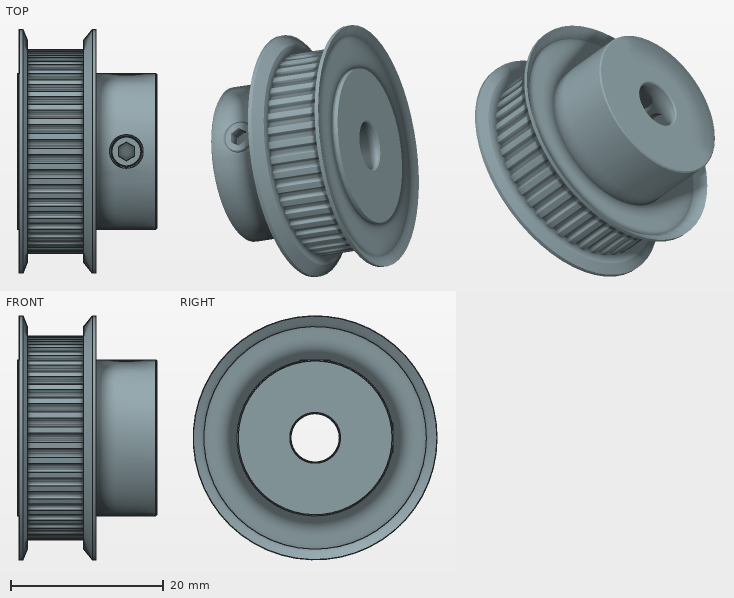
import cadquery as cq
import math


total_length = 18.27
rim_width = 0.5
left_rim_start = 0.2
belt_start = 1.28
belt_end = 8.67
right_rim_end = 10.3

flange_radius = 16.0
flange_flat_radius = 14.6
tooth_radius = 13.38
hub_radius = 10.25
bore_radius = 3.17
edge_chamfer = 0.15

tooth_count = 42
groove_depth = 0.5
groove_top_half = 0.58
groove_floor_half = 0.3
root_fillet = 0.22
tip_fillet = 0.15

screw_x = 14.27
screw_radius = 2.0
screw_chamfer = 0.13
hole_chamfer = 0.2
screw_tip = bore_radius
screw_top = hub_radius
hex_across_flats = 2.1
hex_depth = 1.92
screw_angles = (0, -90)


def make_blank():
    """Revolved pulley body with dished flanges and no belt grooves yet."""
    left_web = belt_start - rim_width
    right_web = belt_end + rim_width
    profile = [
        (0, bore_radius + edge_chamfer),
        (0, hub_radius),
        (left_web, hub_radius),
        (left_web, flange_flat_radius),
        (left_rim_start, flange_radius),
        (left_rim_start + rim_width, flange_radius),
        (belt_start, flange_flat_radius),
        (belt_start, tooth_radius),
        (belt_end, tooth_radius),
        (belt_end, flange_flat_radius),
        (right_rim_end - rim_width, flange_radius),
        (right_rim_end, flange_radius),
        (right_web, flange_flat_radius),
        (right_web, hub_radius),
        (total_length - edge_chamfer, hub_radius),
        (total_length, hub_radius - edge_chamfer),
        (total_length, bore_radius + edge_chamfer),
        (total_length - edge_chamfer, bore_radius),
        (edge_chamfer, bore_radius),
    ]
    return cq.Workplane("XY").polyline(profile).close().revolve(360, (0, 0, 0), (1, 0, 0))


def make_groove():
    """Cutter for a belt groove on +Z: sloped flanks, rounded root and rounded tooth tips."""
    root_radius = tooth_radius - groove_depth
    shoulder_half = groove_top_half + tip_fillet
    cutter_top = tooth_radius + groove_depth
    outline = [
        (-groove_floor_half, root_radius),
        (groove_floor_half, root_radius),
        (groove_top_half, tooth_radius),
        (shoulder_half, tooth_radius),
        (shoulder_half, cutter_top),
        (-shoulder_half, cutter_top),
        (-shoulder_half, tooth_radius),
        (-groove_top_half, tooth_radius),
    ]
    cutter = (
        cq.Workplane("YZ", origin=(belt_start, 0, 0))
        .polyline(outline)
        .close()
        .extrude(belt_end - belt_start)
    )
    root_edges = cq.selectors.BoxSelector(
        (belt_start, -groove_top_half, root_radius - tip_fillet),
        (belt_end, groove_top_half, root_radius + tip_fillet),
    )
    tip_edges = cq.selectors.BoxSelector(
        (belt_start, -groove_top_half - tip_fillet / 2, tooth_radius - tip_fillet / 2),
        (belt_end, groove_top_half + tip_fillet / 2, tooth_radius + tip_fillet / 2),
    )
    cutter = cutter.edges("|X").edges(root_edges).fillet(root_fillet)
    return cutter.edges("|X").edges(tip_edges).fillet(tip_fillet)


def make_screw():
    """Set screw on +Z with a chamfered top and a hex socket."""
    hex_diameter = hex_across_flats / math.cos(math.pi / 6)
    shank = (
        cq.Workplane("XY", origin=(screw_x, 0, screw_tip))
        .circle(screw_radius)
        .extrude(screw_top - screw_tip)
        .faces(">Z")
        .chamfer(screw_chamfer)
    )
    socket = (
        cq.Workplane("XY", origin=(screw_x, 0, screw_top))
        .transformed(rotate=(0, 0, 30))
        .polygon(6, hex_diameter)
        .extrude(-hex_depth)
    )
    return shank.cut(socket)


def drill_screw_hole(body):
    """The body with a radial hole on +Z, from the bore out through the hub, with a chamfered rim."""
    reach = screw_radius + hole_chamfer
    cutter = cq.Workplane("XY", origin=(screw_x, 0, 0)).circle(screw_radius).extrude(hub_radius + reach)
    rim = cq.selectors.BoxSelector(
        (screw_x - reach, -reach, hub_radius - reach / 2),
        (screw_x + reach, reach, hub_radius + reach / 2),
    )
    return body.cut(cutter).edges(rim).chamfer(hole_chamfer)


def turned(shape, angle):
    """The shape turned about the pulley axis."""
    return shape.rotate((0, 0, 0), (1, 0, 0), angle)


def make_pulley():
    """Blank with both screw holes and all belt grooves cut."""
    pulley = make_blank()
    for angle in screw_angles:
        pulley = turned(drill_screw_hole(turned(pulley, -angle)), angle)
    groove = make_groove()
    pitch_angle = 360 / tooth_count
    first_angle = pitch_angle / 2
    grooves = [turned(groove, first_angle + index * pitch_angle).val() for index in range(tooth_count)]
    return pulley.cut(cq.Workplane(cq.Compound.makeCompound(grooves)))


pulley = make_pulley()
screws = [turned(make_screw(), angle).solids().val() for angle in screw_angles]

result = cq.Compound.makeCompound([pulley.solids().val(), *screws])